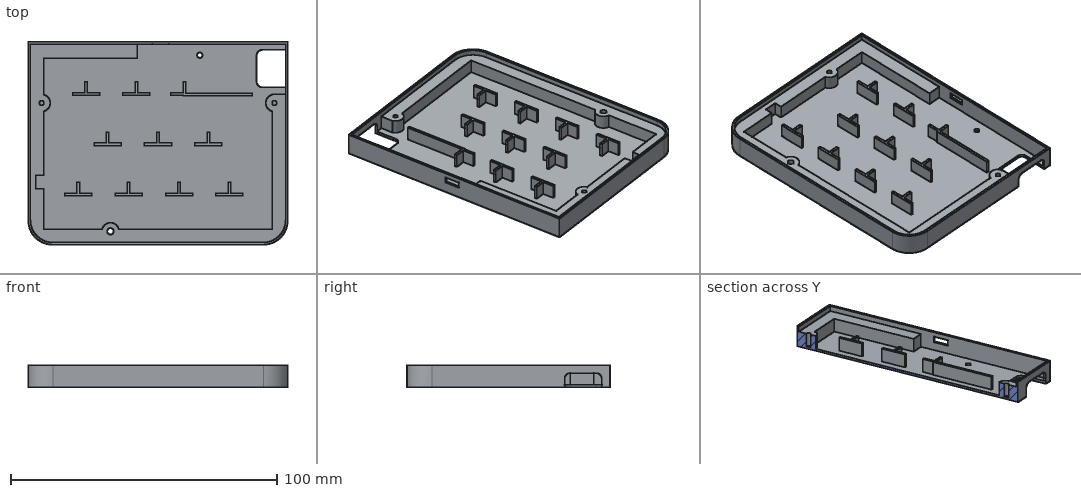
import cadquery as cq

LENGTH = 97.6
DEPTH = 76.3
HEIGHT = 8.4
FRONT_CORNER_RADIUS = 9.3
WALL = 0.9
FLOOR = 1.1
LEDGE_TOP = 6.3

INNER_RIGHT = LENGTH - WALL
INNER_BACK = DEPTH - WALL

WELL_LEFT = 6.0
WELL_RIGHT = LENGTH - WELL_LEFT
WELL_FRONT = 5.9
WELL_BACK = 70.2
BACK_BAY_LEFT = 41.0
NOTCH_LEFT = 2.9
NOTCH_FRONT = 21.0
NOTCH_BACK = 26.1

BOSS_RADIUS = 3.2
SIDE_BOSS_INSET = 5.1
SIDE_BOSS_Y = 53.3
SIDE_BOSSES = [(SIDE_BOSS_INSET, SIDE_BOSS_Y), (LENGTH - SIDE_BOSS_INSET, SIDE_BOSS_Y)]
FRONT_BOSS = (30.9, 5.1)
SIDE_HOLE_DIAMETER = 1.8
FRONT_HOLE_DIAMETER = 2.3
FLOOR_HOLE = (64.5, 71.2)
FLOOR_HOLE_DIAMETER = 2.0

KEY_PITCH = 18.9
SUPPORT_TOP = LEDGE_TOP
SUPPORT_LENGTH = 10.15
SUPPORT_THICKNESS = 1.0
STEM_LENGTH = 4.1
FRONT_ROW_Y = 18.3
FRONT_ROW_X = 18.8
MIDDLE_ROW_X = 29.9
BACK_ROW_X = 21.8
LAST_SUPPORT_X = 58.8

RIB_RIGHT = 84.2
RIB_SETBACK = 0.3

SOCKET_LEFT = 85.9
SOCKET_FRONT = 59.2
SOCKET_BACK = 73.2
SOCKET_TOP = 5.4
SOCKET_CORNER_DIAMETER = 4.2
SLOT_LEFT = 46.7
SLOT_RIGHT = 52.8
SLOT_BOTTOM = 4.3
SLOT_TOP = 6.5


def block(x_range, y_range, z_range):
    """Box spanning the given ranges."""
    (x0, x1), (y0, y1), (z0, z1) = x_range, y_range, z_range
    return cq.Workplane("XY").box(x1 - x0, y1 - y0, z1 - z0, centered=False).translate((x0, y0, z0))


def post(center, diameter, z_range):
    """Vertical cylinder."""
    z0, z1 = z_range
    return cq.Workplane("XY", origin=(*center, z0)).circle(diameter / 2).extrude(z1 - z0)


def rounded_plate(inset, z_range):
    """Tray outline moved inwards, with its two front corners rounded."""
    plate = block((inset, LENGTH - inset), (inset, DEPTH - inset), z_range)
    return plate.edges("|Z and <Y").fillet(FRONT_CORNER_RADIUS - inset)


def well():
    """Space between floor and ledge, leaving the bosses standing."""
    z_range = (FLOOR, LEDGE_TOP)
    space = block((WELL_LEFT, WELL_RIGHT), (WELL_FRONT, WELL_BACK), z_range)
    space = space.union(block((BACK_BAY_LEFT, INNER_RIGHT), (WELL_BACK, INNER_BACK), z_range))
    right_bay_front = SIDE_BOSS_Y + BOSS_RADIUS
    space = space.union(block((WELL_RIGHT, INNER_RIGHT), (right_bay_front, WELL_BACK), z_range))
    space = space.union(block((NOTCH_LEFT, WELL_LEFT), (NOTCH_FRONT, NOTCH_BACK), z_range))
    for center in SIDE_BOSSES + [FRONT_BOSS]:
        space = space.cut(post(center, 2 * BOSS_RADIUS, z_range))
    return space


def support(x, y, right_arm=SUPPORT_LENGTH / 2):
    """T-shaped support: a bar with its front at y and a stem behind it, centred on x."""
    z_range = (FLOOR, SUPPORT_TOP)
    bar_back = y + SUPPORT_THICKNESS
    bar = block((x - SUPPORT_LENGTH / 2, x + right_arm), (y, bar_back), z_range)
    half = SUPPORT_THICKNESS / 2
    return bar.union(block((x - half, x + half), (y, bar_back + STEM_LENGTH), z_range))


def supports():
    """All key supports and the long rib."""
    half = SUPPORT_THICKNESS / 2
    middle_row_y = FRONT_ROW_Y + KEY_PITCH
    back_row_y = middle_row_y + KEY_PITCH
    rows = [(FRONT_ROW_X, FRONT_ROW_Y, 4), (MIDDLE_ROW_X, middle_row_y, 3), (BACK_ROW_X, back_row_y, 2)]
    rib_front = back_row_y - RIB_SETBACK
    rib = block(
        (LAST_SUPPORT_X - half, RIB_RIGHT), (rib_front, rib_front + SUPPORT_THICKNESS), (FLOOR, SUPPORT_TOP)
    )
    group = rib.union(support(LAST_SUPPORT_X, back_row_y, right_arm=half))
    for first_x, y, count in rows:
        for column in range(count):
            group = group.union(support(first_x + column * KEY_PITCH, y))
    return group


def socket_opening():
    """Opening through the floor and the right wall, rounded at its left and front top corners."""
    opening = block((SOCKET_LEFT, LENGTH), (SOCKET_FRONT, SOCKET_BACK), (0, SOCKET_TOP))
    radius = SOCKET_CORNER_DIAMETER / 2
    opening = opening.edges("|Z and <X").fillet(radius)
    return opening.edges("|X and <Y and >Z").fillet(radius)


tray = rounded_plate(0, (0, HEIGHT))
tray = tray.cut(rounded_plate(WALL, (LEDGE_TOP, HEIGHT)))
tray = tray.cut(well())
tray = tray.union(supports())

for side_boss in SIDE_BOSSES:
    tray = tray.cut(post(side_boss, SIDE_HOLE_DIAMETER, (FLOOR, LEDGE_TOP)))
tray = tray.cut(post(FRONT_BOSS, FRONT_HOLE_DIAMETER, (0, LEDGE_TOP)))
tray = tray.cut(post(FLOOR_HOLE, FLOOR_HOLE_DIAMETER, (0, FLOOR)))

tray = tray.cut(socket_opening())
tray = tray.cut(block((SLOT_LEFT, SLOT_RIGHT), (INNER_BACK, DEPTH), (SLOT_BOTTOM, SLOT_TOP)))

result = tray